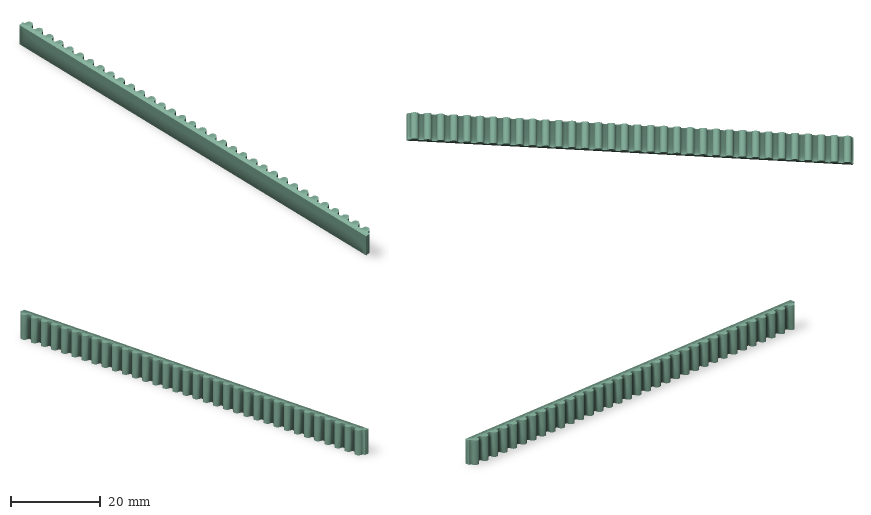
import cadquery as cq
import math

length = 102.0
thickness = 2.4
width = 6.0

tooth_count = 34
tip_radius = 0.86
tip_center_above_root = 0.4
flank_angle = math.radians(8)
root_radius = 0.25

pitch = length / tooth_count
tip_center_y = thickness - tip_radius
root_y = tip_center_y - tip_center_above_root

normal_x = math.cos(flank_angle)
normal_y = math.sin(flank_angle)

fillet_center_y = root_y + root_radius
fillet_rise = fillet_center_y - tip_center_y
half_root = (tip_radius + root_radius - normal_y * fillet_rise) / normal_x

flank_top_x = tip_radius * normal_x
flank_top_y = tip_center_y + tip_radius * normal_y
flank_foot_x = half_root - root_radius * normal_x
flank_foot_y = fillet_center_y - root_radius * normal_y

fillet_mid_angle = (flank_angle + math.pi / 2) / 2
fillet_mid_x = half_root - root_radius * math.cos(fillet_mid_angle)
fillet_mid_y = fillet_center_y - root_radius * math.sin(fillet_mid_angle)


def add_tooth(outline, center_x):
    """Continue the outline over one tooth, from its left root to its right root."""
    return (
        outline.lineTo(center_x - half_root, root_y)
        .threePointArc((center_x - fillet_mid_x, fillet_mid_y), (center_x - flank_foot_x, flank_foot_y))
        .lineTo(center_x - flank_top_x, flank_top_y)
        .threePointArc((center_x, thickness), (center_x + flank_top_x, flank_top_y))
        .lineTo(center_x + flank_foot_x, flank_foot_y)
        .threePointArc((center_x + fillet_mid_x, fillet_mid_y), (center_x + half_root, root_y))
    )


outline = cq.Workplane("XY").lineTo(0, root_y)
for tooth_index in range(tooth_count):
    outline = add_tooth(outline, (tooth_index + 0.5) * pitch)
outline = outline.lineTo(length, root_y).lineTo(length, 0).close()

result = outline.extrude(width)